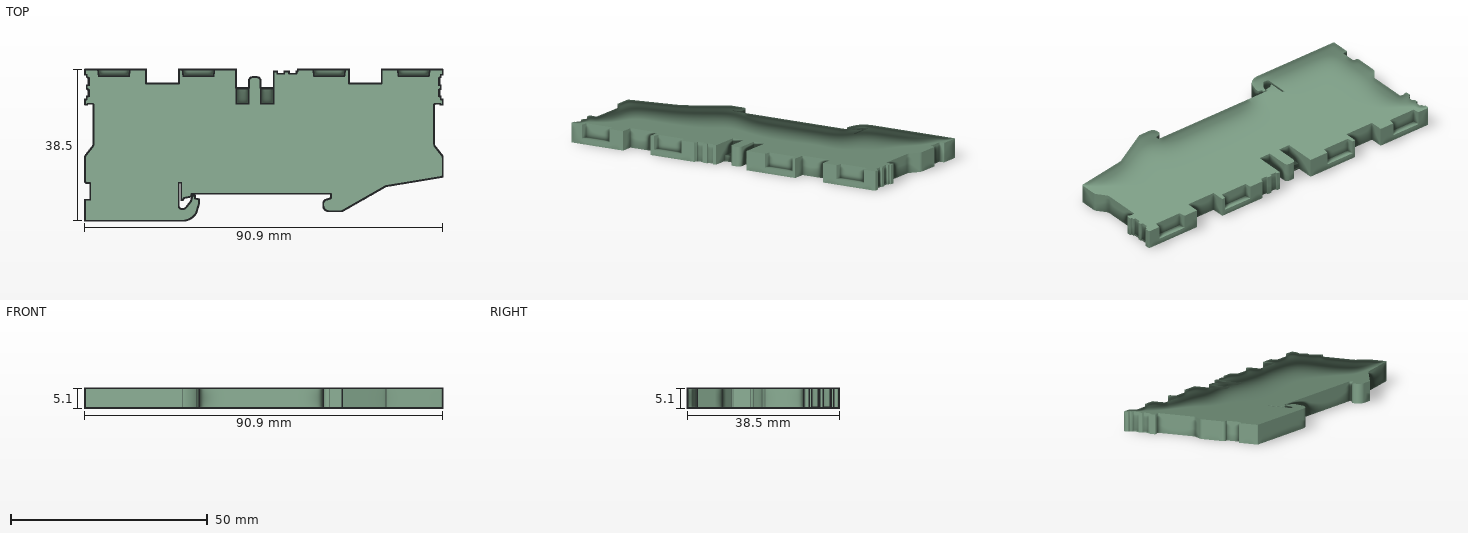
import cadquery as cq
import math

LENGTH = 90.9
HEIGHT = 38.5
THICKNESS = 5.1

EDGE_ROUND = 0.3
TINY_ROUND = 0.15

NECK_INSET = 2.2
GRIP_BOTTOM = 29.75
GRIP_LIP = 0.3
GRIP_LIP_WIDTH = 0.6
GRIP_LIP_BASE = 0.7
GRIP_VALLEY = 1.1
GRIP_SHOULDER = 0.5
GRIP_MOUTH = (30.9, 37.1)
GRIP_SPANS = ((34.5, 36.2), (31.6, 33.2))
GRIP_SLOPE = 0.35

SKIN_THICKNESS = 0.27
SKIN_OVERHANG = 0.27

NECK_FOOT = 19.2
BULGE_TOP = 16.4
BULGE_ROUND = 1.3

END_SLOT_TOP = 9.6
END_SLOT_BOTTOM = 5.4
END_SLOT_DEPTH = 1.35
END_SLOT_ROUND = 0.6
RAIL_FACE = 6.85
RAIL_FACE_LEFT = 27.1
HOOK_SLIT_LEFT = 23.9
HOOK_SLIT_RIGHT = 24.45
HOOK_SLIT_TOP = 9.7
HOOK_HEEL_X = 27.0
HOOK_HEEL_ROUND = 4.2
HOOK_BACK_X = 28.3
HOOK_BACK_Y = 2.0
HOOK_TIP_X = 29.05
HOOK_TIP_Y = 5.5
HOOK_TIP_HEIGHT = 1.0
HOOK_TIP_ROUND = 0.5
HOOK_NOSE_LEFT = 27.35
HOOK_NOSE_RIGHT = 28.0
HOOK_NOSE_FOOT = 5.75
HOOK_NOSE_TOP = 6.5
HOOK_THROAT_X = 26.9
HOOK_THROAT_Y = 4.95
HOOK_THROAT_ROUND = 0.8
HOOK_HOLLOW_RIGHT = 25.4
HOOK_HOLLOW_BOTTOM = 3.1
HOOK_HOLLOW_ROUND = 0.6

BARB_BOTTOM = 5.25
BARB_RIGHT = 24.9
BARB_ROOT_X = 25.2
BARB_ROOT_Y = 5.8
BARB_SLOPE_TOP = 6.2

FOOT_HEEL_X = 62.5
FOOT_TOE_X = 60.5
FOOT_BOTTOM = 2.45
FOOT_SOLE_END = 65.3
FOOT_TOP = 5.8
FOOT_TOE_DROP = 0.6
FOOT_TOE_ROUND = 1.1
FOOT_SOLE_ROUND = 1.5

RAMP_BEND_X = 76.4
RAMP_BEND_Y = 8.8
RAMP_END_Y = 11.2
RAMP_BEND_ROUND = 0.5
RAMP_END_ROUND = 0.4

NOTCH_FLOOR = 34.95
NOTCHES = ((15.6, 23.9), (67.1, 75.35))
OPENING_LEFT = 38.4
OPENING_RIGHT = 47.95
OPENING_FLOOR = 29.75
TONGUE_LEFT = 41.65
TONGUE_RIGHT = 44.65
TONGUE_TOP = 36.55
TONGUE_ROUND = 1.0
WEB_TOP = 33.55

STEP_TOP = 37.95
STEP_END = 54.0
STEP_GROOVE_FLOOR = 37.4
STEP_GROOVES = ((48.9, 50.6), (51.9, 53.7))

POCKET_CENTRES = (7.4, 28.85)
POCKET_MOUTH = 8.2
POCKET_BASE = 7.7
POCKET_DEPTH = 1.7
FLOOR_THICKNESS = 1.5


def rounded_outline(corners):
    """Closed wire through (x, y, radius) corners, each rounded by a tangent arc."""
    legs = []
    for i, (x, y, radius) in enumerate(corners):
        corner = cq.Vector(x, y)
        before = (cq.Vector(*corners[i - 1][:2]) - corner).normalized()
        after = (cq.Vector(*corners[(i + 1) % len(corners)][:2]) - corner).normalized()
        half_angle = before.getAngle(after) / 2
        setback = radius / math.tan(half_angle)
        bisector = (before + after).normalized()
        middle = corner + bisector * (radius / math.sin(half_angle) - radius)
        legs.append((corner + before * setback, middle, corner + after * setback, radius))
    path = cq.Workplane("XY").moveTo(*legs[0][2].toTuple()[:2])
    for start, middle, end, radius in legs[1:] + legs[:1]:
        path = path.lineTo(start.x, start.y)
        if radius:
            path = path.threePointArc((middle.x, middle.y), (end.x, end.y))
    return path.close()


def box(x0, x1, y0, y1, z0=0.0, z1=THICKNESS):
    return cq.Workplane("XY").box(x1 - x0, y1 - y0, z1 - z0, centered=False).translate((x0, y0, z0))


def mirrored(shape):
    """The same shape at the opposite end of the part."""
    return shape.mirror("YZ", (LENGTH / 2, 0, 0))


def body():
    neck_right = LENGTH - NECK_INSET
    left_end = [
        (0, HEIGHT, EDGE_ROUND),
        (0, GRIP_BOTTOM - GRIP_LIP, EDGE_ROUND),
        (GRIP_LIP_WIDTH, GRIP_BOTTOM - GRIP_LIP, 0),
        (GRIP_LIP_BASE, GRIP_BOTTOM, 0),
        (NECK_INSET, GRIP_BOTTOM, EDGE_ROUND),
        (NECK_INSET, NECK_FOOT, BULGE_ROUND),
        (0, BULGE_TOP, BULGE_ROUND),
        (0, END_SLOT_TOP, END_SLOT_ROUND),
        (END_SLOT_DEPTH, END_SLOT_TOP, 0),
        (END_SLOT_DEPTH, END_SLOT_BOTTOM, 0),
        (0, END_SLOT_BOTTOM, TINY_ROUND),
        (0, 0, TINY_ROUND),
    ]
    hook = [
        (HOOK_HEEL_X, 0, HOOK_HEEL_ROUND),
        (HOOK_BACK_X, HOOK_BACK_Y, 0),
        (HOOK_TIP_X, HOOK_TIP_Y - HOOK_TIP_HEIGHT, HOOK_TIP_ROUND),
        (HOOK_TIP_X, HOOK_TIP_Y, TINY_ROUND),
        (HOOK_NOSE_RIGHT, HOOK_NOSE_FOOT, 0),
        (HOOK_NOSE_RIGHT, HOOK_NOSE_TOP, TINY_ROUND),
        (HOOK_NOSE_LEFT, HOOK_NOSE_TOP, TINY_ROUND),
        (HOOK_THROAT_X, HOOK_THROAT_Y, HOOK_THROAT_ROUND),
        (HOOK_HOLLOW_RIGHT, HOOK_HOLLOW_BOTTOM, HOOK_HOLLOW_ROUND),
        (HOOK_SLIT_LEFT, HOOK_HOLLOW_BOTTOM, HOOK_HOLLOW_ROUND),
        (HOOK_SLIT_LEFT, HOOK_SLIT_TOP, 0),
        (HOOK_SLIT_RIGHT, HOOK_SLIT_TOP, 0),
        (HOOK_SLIT_RIGHT, BARB_BOTTOM, TINY_ROUND),
        (BARB_RIGHT, BARB_BOTTOM, TINY_ROUND),
        (BARB_ROOT_X, BARB_ROOT_Y, 0),
        (RAIL_FACE_LEFT, BARB_SLOPE_TOP, 0),
        (RAIL_FACE_LEFT, RAIL_FACE, 0),
    ]
    foot = [
        (FOOT_HEEL_X, RAIL_FACE, 0),
        (FOOT_HEEL_X, FOOT_TOP, 0),
        (FOOT_TOE_X, FOOT_TOP - FOOT_TOE_DROP, FOOT_TOE_ROUND),
        (FOOT_TOE_X, FOOT_BOTTOM, FOOT_SOLE_ROUND),
        (FOOT_SOLE_END, FOOT_BOTTOM, 0),
        (RAMP_BEND_X, RAMP_BEND_Y, RAMP_BEND_ROUND),
        (LENGTH, RAMP_END_Y, RAMP_END_ROUND),
    ]
    right_end = [
        (LENGTH, BULGE_TOP, BULGE_ROUND),
        (neck_right, NECK_FOOT, BULGE_ROUND),
        (neck_right, GRIP_BOTTOM, EDGE_ROUND),
        (LENGTH - GRIP_LIP_BASE, GRIP_BOTTOM, 0),
        (LENGTH - GRIP_LIP_WIDTH, GRIP_BOTTOM - GRIP_LIP, TINY_ROUND),
        (LENGTH, GRIP_BOTTOM - GRIP_LIP, EDGE_ROUND),
        (LENGTH, HEIGHT, EDGE_ROUND),
    ]
    return rounded_outline(left_end + hook + foot + right_end).extrude(THICKNESS)


def grip_cut():
    """Valleys between the teeth of the left grip."""
    cut = box(0, GRIP_SHOULDER, *GRIP_MOUTH)
    for low, high in GRIP_SPANS:
        slope_top = high + GRIP_SLOPE
        valley = (
            cq.Workplane("XY")
            .polyline([
                (0, low),
                (GRIP_VALLEY, low),
                (GRIP_VALLEY, high),
                (GRIP_SHOULDER, slope_top),
                (0, slope_top),
            ])
            .close()
            .extrude(THICKNESS)
        )
        skin = box(GRIP_VALLEY - SKIN_OVERHANG, GRIP_VALLEY, low, high, 0, SKIN_THICKNESS)
        cut = cut.union(valley.cut(skin))
    return cut


def opening_cut():
    """Opening around the tongue, leaving the thin web and its skin."""
    opening = box(OPENING_LEFT, OPENING_RIGHT, OPENING_FLOOR, HEIGHT)
    tongue = rounded_outline([
        (TONGUE_LEFT, OPENING_FLOOR, 0),
        (TONGUE_RIGHT, OPENING_FLOOR, 0),
        (TONGUE_RIGHT, TONGUE_TOP, TONGUE_ROUND),
        (TONGUE_LEFT, TONGUE_TOP, TONGUE_ROUND),
    ]).extrude(THICKNESS)
    web = box(OPENING_LEFT, OPENING_RIGHT, OPENING_FLOOR, WEB_TOP, 0, FLOOR_THICKNESS)
    skin = box(OPENING_LEFT, OPENING_RIGHT, OPENING_FLOOR, WEB_TOP + SKIN_OVERHANG, 0, SKIN_THICKNESS)
    return opening.cut(tongue).cut(web).cut(skin)


def step_cut():
    """Lowered strip with two shallow grooves beside the opening."""
    cut = box(OPENING_RIGHT, STEP_END, STEP_TOP, HEIGHT)
    for left, right in STEP_GROOVES:
        cut = cut.union(box(left, right, STEP_GROOVE_FLOOR, HEIGHT))
    return cut


def label_pocket(centre):
    floor_y = HEIGHT - POCKET_DEPTH
    return (
        cq.Workplane("XY", origin=(centre, 0, FLOOR_THICKNESS))
        .polyline([
            (-POCKET_MOUTH / 2, HEIGHT),
            (-POCKET_BASE / 2, floor_y),
            (POCKET_BASE / 2, floor_y),
            (POCKET_MOUTH / 2, HEIGHT),
        ])
        .close()
        .extrude(THICKNESS - FLOOR_THICKNESS)
    )


result = body()
for side_cut in (grip_cut(), mirrored(grip_cut())):
    result = result.cut(side_cut)
for notch_left, notch_right in NOTCHES:
    result = result.cut(box(notch_left, notch_right, NOTCH_FLOOR, HEIGHT))
result = result.cut(opening_cut()).cut(step_cut())
for pocket_centre in POCKET_CENTRES:
    pocket = label_pocket(pocket_centre)
    result = result.cut(pocket).cut(mirrored(pocket))